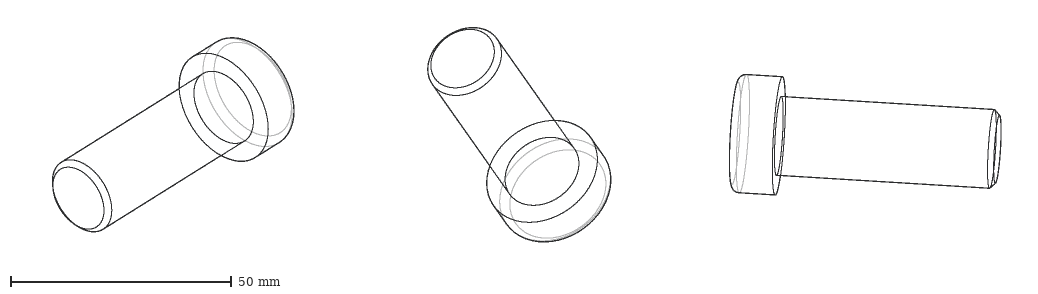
import cadquery as cq

total_length = 60.0
head_diameter = 27.0
head_length = 10.0
head_fillet = 1.8
shank_diameter = 18.0
tip_chamfer = 1.25
shank_length = total_length - head_length


def make_shank():
    """Plain cylinder from the tip at Y = 0 to the head, with a chamfered tip."""
    shank = cq.Workplane("XZ").circle(shank_diameter / 2).extrude(-shank_length)
    return shank.faces("<Y").edges().chamfer(tip_chamfer)


def make_head():
    """Larger cylinder with a rounded outer rim."""
    head = (
        cq.Workplane("XZ", origin=(0, shank_length, 0))
        .circle(head_diameter / 2)
        .extrude(-head_length)
    )
    return head.faces(">Y").edges().fillet(head_fillet)


result = make_shank().union(make_head())